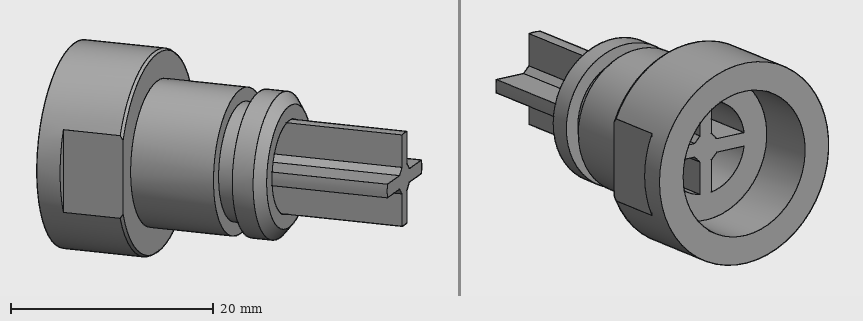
import cadquery as cq

total_length = 35.0
flat_start = 2.5
head_end = 8.82
body_end = 17.6
groove_end = 19.6
collar_end = 22.8

head_radius = 10.4
body_radius = 7.42
groove_radius = 6.02
bore_radius = 7.5
passage_radius = 4.75

flat_distance = 9.5
bore_depth = 6.4
head_chamfer_length = 0.3
head_chamfer_height = 0.18
collar_chamfer_length = 0.98
collar_chamfer_height = 1.2
rib_thickness = 1.4
rib_corner_chamfer = 0.65


def cylinder(start, end, radius):
    """Solid cylinder on the X axis between two stations."""
    return cq.Workplane("YZ", origin=(start, 0, 0)).circle(radius).extrude(end - start)


def turned_shell():
    """Head, body, groove and collar revolved about the X axis."""
    profile = (
        cq.Workplane("XY")
        .moveTo(0, 0)
        .lineTo(0, head_radius)
        .lineTo(head_end - head_chamfer_length, head_radius)
        .lineTo(head_end, head_radius - head_chamfer_height)
        .lineTo(head_end, body_radius)
        .lineTo(body_end, body_radius)
        .lineTo(body_end, groove_radius)
        .lineTo(groove_end, groove_radius)
        .lineTo(groove_end, body_radius)
        .lineTo(collar_end - collar_chamfer_length, body_radius)
        .lineTo(collar_end, body_radius - collar_chamfer_height)
        .lineTo(collar_end, 0)
        .close()
    )
    solid = profile.revolve(360, (0, 0, 0), (1, 0, 0))
    bore = cylinder(0, bore_depth, bore_radius)
    passage = cylinder(bore_depth, collar_end, passage_radius)
    return solid.cut(bore).cut(passage)


def wrench_flat_cutter(side):
    """Block that removes the head beyond a flat; side is +1 or -1 along Y."""
    depth = head_radius - flat_distance
    return cq.Workplane("XY").box(
        head_end - flat_start, depth, 2 * head_radius, centered=(False, True, True)
    ).translate((flat_start, side * (flat_distance + depth / 2), 0))


def cross_ribs():
    """Four ribs with a chamfered core, trimmed to the passage radius."""
    length = total_length - bore_depth
    plane = cq.Workplane("YZ", origin=(bore_depth, 0, 0))
    span = 2 * passage_radius
    core_width = rib_thickness + 2 * rib_corner_chamfer
    core = plane.rect(core_width, core_width).extrude(length).edges("|X").chamfer(rib_corner_chamfer)
    ribs = plane.rect(span, rib_thickness).extrude(length)
    ribs = ribs.union(plane.rect(rib_thickness, span).extrude(length)).union(core)
    return ribs.intersect(cylinder(bore_depth, total_length, passage_radius))


result = turned_shell()
for flat_side in (-1, 1):
    result = result.cut(wrench_flat_cutter(flat_side))
result = result.union(cross_ribs())